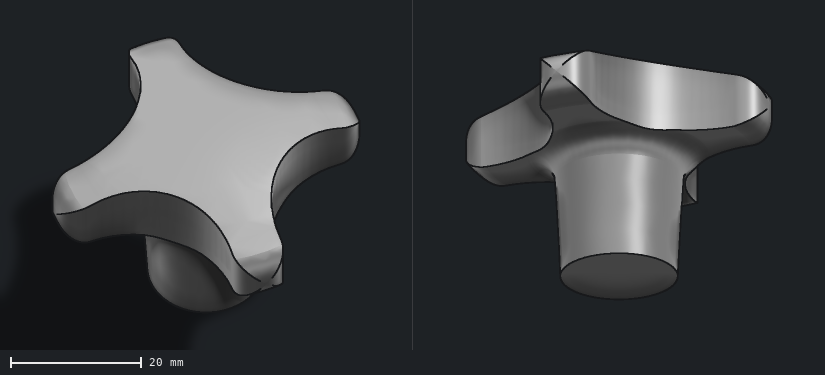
import cadquery as cq
import math

height = 32.0
span_radius = 25.0

arm_underside = 20.0
tip_radius = 4.0
rim_radius = 4.28
scallop_radius = 16.0
flat_length = 0.35

stem_bottom_radius = 9.0
stem_draft = math.radians(3.0)
flare_radius = 4.0

rim_r = span_radius - rim_radius
rim_z = arm_underside + rim_radius

crown_rise = height - rim_z
dome_radius = (rim_r**2 + crown_rise**2 - rim_radius**2) / (2 * (crown_rise - rim_radius))
dome_z = height - dome_radius
dome_end_angle = math.atan2(rim_z - dome_z, rim_r)

flare_z = arm_underside - flare_radius
stem_top_z = flare_z + flare_radius * math.sin(stem_draft)
stem_top_radius = stem_bottom_radius + stem_top_z * math.tan(stem_draft)
flare_r = stem_top_radius + flare_radius * math.cos(stem_draft)

tip_centre = span_radius - tip_radius
centre_gap = scallop_radius + tip_radius
scallop_centre = (tip_centre + math.sqrt(2 * centre_gap**2 - tip_centre**2)) / 2
joint_x = tip_centre + (scallop_centre - tip_centre) * tip_radius / centre_gap
joint_y = scallop_centre * tip_radius / centre_gap

flat_x = joint_x + flat_length
flat_y = math.sqrt(tip_radius**2 - (flat_x - tip_centre) ** 2)


def on_circle(centre_r, centre_z, radius, angle):
    """Point on a circle of the (r, z) plane at an angle in radians."""
    return (centre_r + radius * math.cos(angle), centre_z + radius * math.sin(angle))


def turned_body():
    """Stem, flare, rounded rim and dome as one solid of revolution about Z."""
    flare_mid_angle = (math.pi / 2 + math.pi - stem_draft) / 2
    rim_mid_angle = (dome_end_angle - math.pi / 2) / 2
    dome_mid_angle = (dome_end_angle + math.pi / 2) / 2
    profile_plane = cq.Plane(origin=(0, 0, 0), xDir=(-1, 0, 0), normal=(0, 1, 0))
    return (
        cq.Workplane(profile_plane)
        .lineTo(stem_bottom_radius, 0)
        .lineTo(stem_top_radius, stem_top_z)
        .threePointArc(
            on_circle(flare_r, flare_z, flare_radius, flare_mid_angle),
            (flare_r, arm_underside),
        )
        .lineTo(rim_r, arm_underside)
        .threePointArc(
            on_circle(rim_r, rim_z, rim_radius, rim_mid_angle),
            on_circle(rim_r, rim_z, rim_radius, dome_end_angle),
        )
        .threePointArc(on_circle(0, dome_z, dome_radius, dome_mid_angle), (0, height))
        .close()
        .revolve(360, (0, 0, 0), (0, 1, 0))
    )


def cross_prism():
    """Full-height prism of the four-armed plan outline."""
    scallop_mid = scallop_centre - scallop_radius * math.sqrt(0.5)
    quarter_points = {
        "tip_start": (joint_x, -joint_y),
        "tip": (span_radius, 0),
        "tip_end": (flat_x, flat_y),
        "scallop_start": (joint_x, joint_y),
        "scallop_mid": (scallop_mid, scallop_mid),
        "scallop_end": (joint_y, joint_x),
    }

    outline = cq.Workplane("XY").moveTo(*quarter_points["tip_start"])
    for quarter in range(4):
        turn = math.radians(90 * quarter)
        cos_turn = math.cos(turn)
        sin_turn = math.sin(turn)
        turned = {
            name: (x * cos_turn - y * sin_turn, x * sin_turn + y * cos_turn)
            for name, (x, y) in quarter_points.items()
        }
        outline = outline.threePointArc(turned["tip"], turned["tip_end"])
        outline = outline.lineTo(*turned["scallop_start"])
        outline = outline.threePointArc(turned["scallop_mid"], turned["scallop_end"])
    return outline.close().extrude(height)


result = turned_body().intersect(cross_prism())